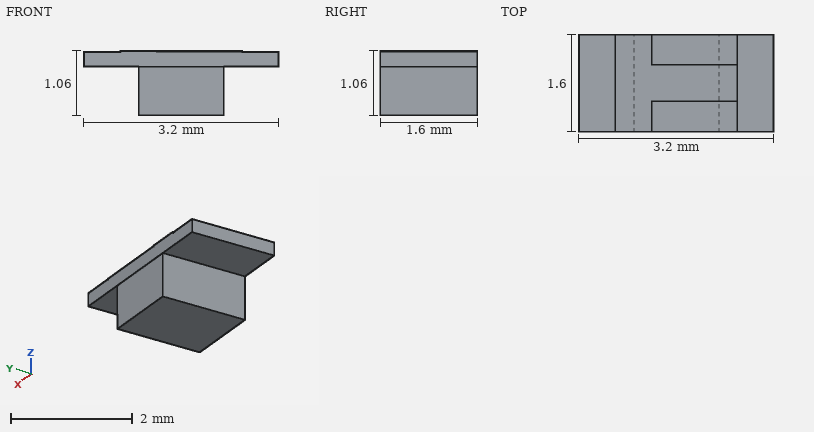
import cadquery as cq

plate_length = 3.2
plate_width = 1.6
total_height = 1.06

block_length = 1.4
block_height = 0.8

pad_thickness = 0.015
pad_length = 2.0
stem_width = 0.6
stem_length = block_length
bar_length = pad_length - stem_length

side_step_thickness = 0.005

plate_bottom = block_height
plate_top = total_height - pad_thickness
plate_thickness = plate_top - plate_bottom
pad_start_x = -pad_length / 2
stem_center_x = pad_start_x + bar_length + stem_length / 2


def make_box(length, width, height, center_x, bottom_z):
    """Box centred on Y = 0, standing on bottom_z."""
    return (
        cq.Workplane("XY", origin=(center_x, 0, bottom_z))
        .box(length, width, height, centered=(True, True, False))
    )


def make_block():
    """Plain block that carries the plate."""
    return make_box(block_length, plate_width, block_height, 0, 0)


def make_pad():
    """T shape: a bar across the full width and a stem running along X."""
    bar = make_box(bar_length, plate_width, pad_thickness, pad_start_x + bar_length / 2, plate_top)
    stem = make_box(stem_length, stem_width, pad_thickness, stem_center_x, plate_top)
    return bar.union(stem)


def make_side_steps():
    """Low layer along the stem; the higher stem covers its middle, leaving a step on each side."""
    return make_box(stem_length, plate_width, side_step_thickness, stem_center_x, plate_top)


def make_plate():
    """Plate with the pad and the side steps as part of it."""
    slab = make_box(plate_length, plate_width, plate_thickness, 0, plate_bottom)
    return slab.union(make_side_steps()).union(make_pad())


block = make_block()
plate = make_plate()

result = cq.Compound.makeCompound([block.val(), plate.val()])